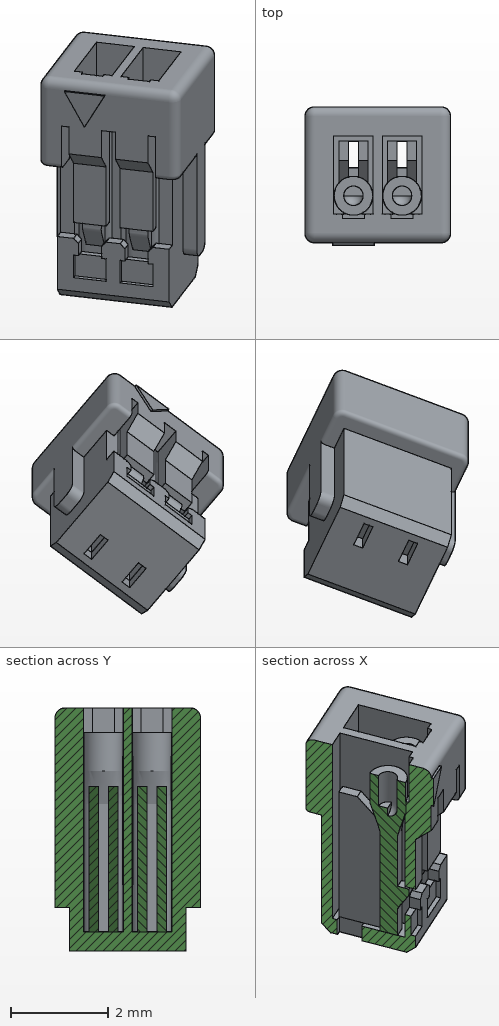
import cadquery as cq
import math


pole_pitch = 1.0
pole_xs = [-pole_pitch / 2, pole_pitch / 2]

height = 5.0
head_width = 3.0
head_depth = 2.8
head_bottom = 3.05
head_top_radius = 0.2
head_bottom_radius = 0.1
head_front = -head_depth / 2

body_width = 2.4
body_depth = 2.1
body_front = -body_depth / 2
body_chamfer = 0.2

rail_width = 0.6
rail_center_y = 0.245
rail_bottom = 0.8
rail_top = head_bottom + head_bottom_radius
rail_radius = 0.2

cavity_width = 0.81
cavity_front = -0.81
cavity_back = 0.8
cavity_floor = 0.4

recess_bottom = 1.375
head_recess_width = 2.01
head_recess_top = 4.0
finger_width = 0.7
finger_bottom = 1.73
finger_step = body_front - head_front

window_bottom = 0.5
window_top = 1.0
window_depth = 0.1
post_gap_width = 0.5
post_chamfer = 0.1

notch_width = 0.46
notch_front = -0.9
notch_bottom = head_recess_top

opening_width = 0.2
opening_front = 0.15
opening_back = 0.69

mark_width = 0.86
mark_thickness = 0.05
mark_top = height - head_top_radius

barrel_diameter = 0.8
barrel_y = -0.43
barrel_top = 4.5
barrel_bottom = 3.7
shank_top = 3.02
shank_thickness = 0.4
shank_y = -0.45
bore_diameter = 0.4
bore_bottom = barrel_bottom

fork_width = 0.6
fork_gap = opening_width
fork_back = 0.7
fork_top = barrel_bottom
fork_flat_front = 0.29

lance_width = 0.4
lance_root_y = shank_y - shank_thickness / 2
lance_tip_y = -0.905
lance_top = 1.7
lance_round_top = 1.6
lance_round_bottom = 1.5
lance_round_bottom_y = -0.885
lance_bottom = 1.1


def box(x_range, y_range, z_range):
    """Axis-aligned box between the given limits."""
    size = [high - low for low, high in (x_range, y_range, z_range)]
    corner = (x_range[0], y_range[0], z_range[0])
    return cq.Workplane("XY").box(*size, centered=False).translate(corner)


def centered_box(x, width, y_range, z_range):
    """Box of the given width, centered on x."""
    return box((x - width / 2, x + width / 2), y_range, z_range)


def make_contact_stem(x):
    """Round wire barrel that flattens downwards into a round-ended shank of the same width."""
    barrel = (
        cq.Workplane("XY", origin=(x, barrel_y, barrel_bottom))
        .circle(barrel_diameter / 2)
        .extrude(barrel_top - barrel_bottom)
    )
    shank = (
        cq.Workplane("XY", origin=(x, shank_y, cavity_floor))
        .slot2D(barrel_diameter, shank_thickness)
        .extrude(shank_top - cavity_floor)
    )
    transition = (
        cq.Workplane("XY", origin=(x, shank_y, shank_top))
        .slot2D(barrel_diameter, shank_thickness)
        .workplane(offset=barrel_bottom - shank_top)
        .center(0, barrel_y - shank_y)
        .circle(barrel_diameter / 2)
        .loft(ruled=True)
    )
    return shank.union(transition).union(barrel)


def make_head():
    head = centered_box(0, head_width, (head_front, -head_front), (head_bottom, height))
    head = head.edges("|Z").fillet(head_top_radius)
    head = head.faces(">Z").edges().fillet(head_top_radius)
    return head.faces("<Z").edges().fillet(head_bottom_radius)


def make_body():
    body_top = height - head_top_radius
    body = centered_box(0, body_width, (body_front, -body_front), (0, body_top))
    return body.faces("<Z").edges("|X").chamfer(body_chamfer)


def make_rails():
    """One slab across the body whose two ends form the side rails."""
    y_range = (rail_center_y - rail_width / 2, rail_center_y + rail_width / 2)
    rails = centered_box(0, head_width, y_range, (rail_bottom, rail_top))
    return rails.faces("<Z").edges("|X").fillet(rail_radius)


def make_front_recess():
    """Space cleared in front of the cavities, under the head and up into its front wall."""
    below_head = centered_box(0, body_width, (body_front, cavity_front), (recess_bottom, head_bottom))
    in_head = centered_box(
        0, head_recess_width, (head_front, cavity_front), (head_bottom, head_recess_top)
    )
    return below_head.union(in_head)


def make_finger(x):
    """Latch finger with a 45 degree step from the head front to the body front."""
    return (
        cq.Workplane("YZ", origin=(x, 0, 0))
        .moveTo(cavity_front, finger_bottom)
        .lineTo(body_front, finger_bottom)
        .lineTo(body_front, head_bottom)
        .lineTo(head_front, head_bottom + finger_step)
        .lineTo(head_front, head_recess_top)
        .lineTo(cavity_front, head_recess_top)
        .close()
        .extrude(finger_width / 2, both=True)
    )


def make_post_gap(x):
    """Gap between the posts, flared by a chamfer at the post tops."""
    half = post_gap_width / 2
    flare = half + post_chamfer
    outline = [
        (x - half, window_top),
        (x + half, window_top),
        (x + half, recess_bottom - post_chamfer),
        (x + flare, recess_bottom),
        (x - flare, recess_bottom),
        (x - half, recess_bottom - post_chamfer),
    ]
    depth = cavity_front - body_front
    return cq.Workplane("XZ", origin=(0, cavity_front, 0)).polyline(outline).close().extrude(depth)


def make_pole_cutouts(x):
    """Everything removed from the housing for one pole."""
    cavity = centered_box(x, cavity_width, (cavity_front, cavity_back), (cavity_floor, height))
    notch = centered_box(x, notch_width, (notch_front, cavity_front), (notch_bottom, height))
    opening = centered_box(x, opening_width, (opening_front, opening_back), (0, cavity_floor))
    window = centered_box(
        x, finger_width, (body_front, body_front + window_depth), (window_bottom, window_top)
    )
    return [cavity, notch, opening, window, make_post_gap(x), make_contact_stem(x)]


def make_pole_mark():
    x = pole_xs[0]
    outline = [
        (x - mark_width / 2, mark_top),
        (x + mark_width / 2, mark_top),
        (x, mark_top - mark_width * math.sqrt(3) / 2),
    ]
    return cq.Workplane("XZ", origin=(0, head_front, 0)).polyline(outline).close().extrude(mark_thickness)


def make_housing():
    housing = make_head().union(make_body()).union(make_rails())
    housing = housing.cut(make_front_recess())
    for x in pole_xs:
        housing = housing.union(make_finger(x))
    for x in pole_xs:
        for cutout in make_pole_cutouts(x):
            housing = housing.cut(cutout)
    return housing.union(make_pole_mark())


def make_wire_bore(x):
    """Blind bore with a ball-shaped hollow in the front half of its floor."""
    radius = bore_diameter / 2
    floor_center = (x, barrel_y, bore_bottom)
    bore = cq.Workplane("XY", origin=floor_center).circle(radius).extrude(barrel_top - bore_bottom)
    ball = cq.Workplane("XY", origin=floor_center).sphere(radius)
    front_half = centered_box(
        x, bore_diameter, (barrel_y - radius, barrel_y), (bore_bottom - radius, bore_bottom)
    )
    return bore.union(ball.intersect(front_half))


def make_fork(x):
    """Two flat arms behind the barrel, their tops sloping down 45 degrees towards it."""
    slope_length = fork_flat_front - barrel_y
    fork = (
        cq.Workplane("YZ", origin=(x, 0, 0))
        .moveTo(barrel_y, cavity_floor)
        .lineTo(fork_back, cavity_floor)
        .lineTo(fork_back, fork_top)
        .lineTo(fork_flat_front, fork_top)
        .lineTo(barrel_y, fork_top - slope_length)
        .close()
        .extrude(fork_width / 2, both=True)
    )
    return fork.cut(centered_box(x, fork_gap, (barrel_y, fork_back), (cavity_floor, fork_top)))


def make_lance(x):
    """Spring lance with a flat catch on top and a ramp below."""
    return (
        cq.Workplane("YZ", origin=(x, 0, 0))
        .moveTo(lance_root_y, lance_bottom)
        .lineTo(lance_round_bottom_y, lance_round_bottom)
        .tangentArcPoint((lance_tip_y, lance_round_top), relative=False)
        .lineTo(lance_tip_y, lance_top)
        .lineTo(lance_root_y, lance_top)
        .close()
        .extrude(lance_width / 2, both=True)
    )


def make_contact(x):
    contact = make_contact_stem(x).union(make_fork(x)).union(make_lance(x))
    return contact.cut(make_wire_bore(x))


housing = make_housing()
contacts = [make_contact(x) for x in pole_xs]

result = cq.Compound.makeCompound([housing.val(), *[contact.val() for contact in contacts]])